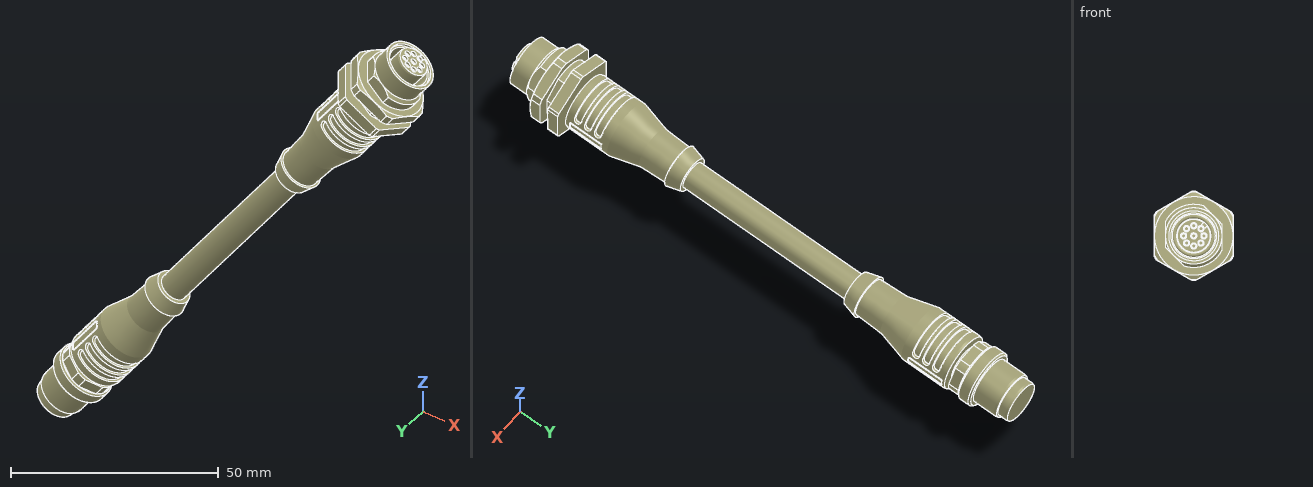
import cadquery as cq
import math

PLUG_TIP_Y = 76.2
PLUG_SHELL_Y = 73.5
COLLAR_FRONT_Y = 66.5
COLLAR_BACK_Y = 62.7
PLUG_HEX_BACK_Y = 59.8
PLUG_GRIP_Y = 58.7
SOCKET_GRIP_Y = -57.2
FLANGE_BACK_Y = -58.0
FLANGE_FRONT_Y = -61.0
NUT_BACK_Y = -63.5
NUT_FRONT_Y = -66.5
THREAD_END_Y = -69.7
SLEEVE_END_Y = -74.7
INSERT_END_Y = -76.2

BEVEL_DROP = 0.2
BEVEL_LENGTH = 0.6

GRIP_DIA = 15.2
GRIP_LENGTH = 13.0
CONE_LENGTH = 8.1
CONE_END_DIA = 11.0
WAIST_LENGTH = 8.0
WAIST_DIA = 10.4
BEAD_LENGTH = 4.0
BEAD_DIA = 11.6
BEAD_END_DIA = 9.5
CABLE_DIA = 7.3
NECK_DIA = 9.5

GROOVE_COUNT = 3
GROOVE_OFFSET = 3.2
GROOVE_PITCH = 3.0
GROOVE_WIDTH = 2.0
GROOVE_DEPTH = 0.6
GROOVE_START_Z = 2.6
PANEL_HEIGHT = 2.5
PANEL_DEPTH = 0.3
PLUG_PANEL_OFFSET = 0.8
PLUG_PANEL_LENGTH = 10.4
PLUG_PANEL_CORNER = 0.6
SOCKET_PANEL_OFFSET = 1.4
SOCKET_PANEL_LENGTH = 9.6

CORNERS_ON_X = 0
CORNERS_ON_Z = 30

TIP_DIA = 11.0
SHELL_DIA = 12.4
COLLAR_DIA = 15.2
COLLAR_CHAMFER = 0.5
PLUG_HEX_FLATS = 13.5
PLUG_HEX_CORNER_DIA = 14.5

HEX_FLATS = 19.0
FLANGE_CORNER_DIA = 21.5
NUT_CORNER_DIA = 21.0
NUT_CHAMFER_DIA = 18.9
NUT_CHAMFER_LENGTH = 0.5
THREAD_DIA = 15.2
THREAD_FLATS_ANGLE = 45.0
SLEEVE_DIA = 13.5
SLEEVE_MOUTH_DIA = 12.0
SLEEVE_MOUTH_DEPTH = 0.8
SLEEVE_BORE_DIA = 11.0
SLEEVE_BORE_DEPTH = 6.1
INSERT_DIA = 8.2
SEAL_RING_DIA = 9.3
SEAL_RING_THICKNESS = 1.0
KEYWAY_WIDTH = 1.2
KEYWAY_DEPTH = 0.9
KEYWAY_ANGLE = 45.0
CONTACT_MOUTH_DIA = 1.5
CONTACT_MOUTH_DEPTH = 0.8
CONTACT_BORE_DIA = 1.0
CONTACT_CIRCLE_DIA = 4.9
RING_CONTACT_COUNT = 8
CONTACT_DEPTH = 4.5


def cylinder(dia, y_start, y_end):
    """Cylinder on the Y axis between two stations."""
    low = min(y_start, y_end)
    return cq.Workplane("XZ", origin=(0, low, 0)).circle(dia / 2).extrude(-abs(y_end - y_start))


def turned(points):
    """Solid turned about the Y axis from a closed outline of (radius, y) points."""
    return cq.Workplane("XY").polyline(points).close().revolve(360, (0, 0, 0), (0, 1, 0))


def beveled_cylinder(dia, root_y, rim_y):
    """Cylinder on the Y axis with a slender bevel at its free rim."""
    bevel_y = rim_y - math.copysign(BEVEL_LENGTH, rim_y - root_y)
    return turned([
        (0, root_y),
        (dia / 2, root_y),
        (dia / 2, bevel_y),
        (dia / 2 - BEVEL_DROP, rim_y),
        (0, rim_y),
    ])


def hexagon(flats, corner_dia, y_start, y_end, turn):
    """Hexagonal prism with its corners rounded to a diameter."""
    low = min(y_start, y_end)
    prism = (
        cq.Workplane("XZ", origin=(0, low, 0))
        .transformed(rotate=(0, 0, turn))
        .polygon(6, flats / math.cos(math.pi / 6))
        .extrude(-abs(y_end - y_start))
    )
    return prism.intersect(cylinder(corner_dia, y_start, y_end))


def grip_profile(end_y, inward):
    """Grip, cone, waist and bead; inward is the Y direction toward the cable."""
    grip_end = end_y + inward * GRIP_LENGTH
    cone_end = grip_end + inward * CONE_LENGTH
    waist_end = cone_end + inward * WAIST_LENGTH
    bead_end = waist_end + inward * BEAD_LENGTH
    points = [
        (0, end_y),
        (GRIP_DIA / 2 - BEVEL_DROP, end_y),
        (GRIP_DIA / 2, end_y + inward * BEVEL_LENGTH),
        (GRIP_DIA / 2, grip_end),
        (CONE_END_DIA / 2, cone_end),
        (WAIST_DIA / 2, waist_end),
        (BEAD_DIA / 2, waist_end),
        (BEAD_END_DIA / 2, bead_end),
        (0, bead_end),
    ]
    return turned(points)


def finger_groove(y):
    """Shallow ring groove, interrupted at both sides with rounded ends."""
    low = y - GROOVE_WIDTH / 2
    high = y + GROOVE_WIDTH / 2
    ring = cylinder(GRIP_DIA + GROOVE_DEPTH, low, high).cut(cylinder(GRIP_DIA - 2 * GROOVE_DEPTH, low, high))
    slot_length = GRIP_DIA
    slot_z = GROOVE_START_Z + slot_length / 2
    slots = (
        cq.Workplane("YZ")
        .pushPoints([(y, slot_z), (y, -slot_z)])
        .slot2D(slot_length, GROOVE_WIDTH, 90)
        .extrude(GRIP_DIA, both=True)
    )
    return ring.intersect(slots)


def grip(end_y, inward, panel_offset, panel_length, panel_corner):
    body = grip_profile(end_y, inward)
    for index in range(GROOVE_COUNT):
        body = body.cut(finger_groove(end_y + inward * (GROOVE_OFFSET + index * GROOVE_PITCH)))
    panel_y = end_y + inward * (panel_offset + panel_length / 2)
    panel_gap = GRIP_DIA - 2 * PANEL_DEPTH
    for side in (-1, 1):
        panel = cq.Workplane("XY").box(GRIP_DIA, panel_length, PANEL_HEIGHT)
        if panel_corner > 0:
            panel = panel.edges("|X").fillet(panel_corner)
        body = body.cut(panel.translate((side * (GRIP_DIA + panel_gap) / 2, panel_y, 0)))
    return body


def plug_front():
    tip = beveled_cylinder(TIP_DIA, PLUG_SHELL_Y, PLUG_TIP_Y)
    shell = beveled_cylinder(SHELL_DIA, COLLAR_FRONT_Y, PLUG_SHELL_Y)
    collar = cylinder(COLLAR_DIA, COLLAR_BACK_Y, COLLAR_FRONT_Y).faces("<Y or >Y").chamfer(COLLAR_CHAMFER)
    hex_drive = hexagon(PLUG_HEX_FLATS, PLUG_HEX_CORNER_DIA, PLUG_HEX_BACK_Y, COLLAR_BACK_Y, CORNERS_ON_X)
    neck = cylinder(NECK_DIA, PLUG_GRIP_Y, PLUG_HEX_BACK_Y)
    return tip.union(shell).union(collar).union(hex_drive).union(neck)


def mounting_nut():
    nut = hexagon(HEX_FLATS, NUT_CORNER_DIA, NUT_FRONT_Y, NUT_BACK_Y, CORNERS_ON_Z)
    envelope = turned([
        (0, NUT_BACK_Y),
        (NUT_CORNER_DIA / 2, NUT_BACK_Y),
        (NUT_CORNER_DIA / 2, NUT_FRONT_Y + NUT_CHAMFER_LENGTH),
        (NUT_CHAMFER_DIA / 2, NUT_FRONT_Y),
        (0, NUT_FRONT_Y),
    ])
    return nut.intersect(envelope)


def threaded_body():
    """Round body cut flush with the sleeve by two pairs of flats, 45 degrees apart."""
    body = cylinder(THREAD_DIA, THREAD_END_Y, FLANGE_FRONT_Y)
    body = body.faces("<Y").chamfer((THREAD_DIA - SLEEVE_DIA) / 2)
    length = FLANGE_FRONT_Y - THREAD_END_Y
    flats = cq.Workplane("XY").box(SLEEVE_DIA, length, 2 * THREAD_DIA)
    flats = flats.translate((0, (FLANGE_FRONT_Y + THREAD_END_Y) / 2, 0))
    for angle in (0, -THREAD_FLATS_ANGLE):
        body = body.intersect(flats.rotate((0, 0, 0), (0, 1, 0), angle))
    return body


def contact_insert():
    floor_y = SLEEVE_END_Y + SLEEVE_BORE_DEPTH
    insert = beveled_cylinder(INSERT_DIA, floor_y, INSERT_END_Y)
    keyway = (
        cq.Workplane("XY")
        .box(2 * KEYWAY_DEPTH, floor_y - INSERT_END_Y, KEYWAY_WIDTH)
        .translate((INSERT_DIA / 2, (floor_y + INSERT_END_Y) / 2, 0))
        .rotate((0, 0, 0), (0, 1, 0), -KEYWAY_ANGLE)
    )
    insert = insert.cut(keyway)
    holes = ((CONTACT_MOUTH_DIA, CONTACT_MOUTH_DEPTH), (CONTACT_BORE_DIA, CONTACT_DEPTH))
    for dia, depth in holes:
        end_face = cq.Workplane("XZ", origin=(0, INSERT_END_Y, 0))
        ring_holes = (
            end_face.polarArray(CONTACT_CIRCLE_DIA / 2, 0, 360, RING_CONTACT_COUNT)
            .circle(dia / 2)
            .extrude(-depth)
        )
        center_hole = cylinder(dia, INSERT_END_Y, INSERT_END_Y + depth)
        insert = insert.cut(ring_holes).cut(center_hole)
    return insert


def seal_ring():
    """Ring of round section, half sunk in the bore floor around the contact insert."""
    return (
        cq.Workplane("XY")
        .center(SEAL_RING_DIA / 2, SLEEVE_END_Y + SLEEVE_BORE_DEPTH)
        .circle(SEAL_RING_THICKNESS / 2)
        .revolve(360, (-SEAL_RING_DIA / 2, 0, 0), (-SEAL_RING_DIA / 2, 1, 0))
    )


def socket_front():
    neck = cylinder(NECK_DIA, FLANGE_BACK_Y, SOCKET_GRIP_Y)
    flange = hexagon(HEX_FLATS, FLANGE_CORNER_DIA, FLANGE_FRONT_Y, FLANGE_BACK_Y, CORNERS_ON_Z)
    sleeve = cylinder(SLEEVE_DIA, SLEEVE_END_Y, THREAD_END_Y)
    body = neck.union(flange).union(threaded_body()).union(mounting_nut()).union(sleeve)
    body = body.cut(cylinder(SLEEVE_BORE_DIA, SLEEVE_END_Y, SLEEVE_END_Y + SLEEVE_BORE_DEPTH))
    body = body.cut(cylinder(SLEEVE_MOUTH_DIA, SLEEVE_END_Y, SLEEVE_END_Y + SLEEVE_MOUTH_DEPTH))
    return body.union(contact_insert()).union(seal_ring())


cable = cylinder(CABLE_DIA, SOCKET_GRIP_Y + GRIP_LENGTH, PLUG_GRIP_Y - GRIP_LENGTH)
plug_grip = grip(PLUG_GRIP_Y, -1, PLUG_PANEL_OFFSET, PLUG_PANEL_LENGTH, PLUG_PANEL_CORNER)
socket_grip = grip(SOCKET_GRIP_Y, 1, SOCKET_PANEL_OFFSET, SOCKET_PANEL_LENGTH, 0)

result = cable.union(plug_grip).union(socket_grip).union(plug_front()).union(socket_front())